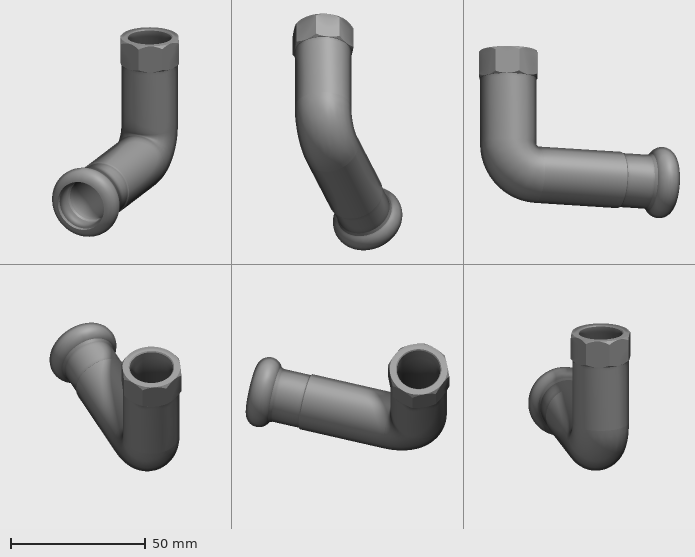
import cadquery as cq
import math

leg_top = 46.05
leg_length = 64.05
bend_radius = 11.0
pipe_radius = 10.5
bore_radius = 8.1

nut_sides = 8
nut_corner_radius = 11.65
nut_height = 10.3
nut_turn = 3.0
nut_face_radius = 10.75
nut_top_bevel = 1.2
nut_bottom_bevel = 0.9
mouth_chamfer = 0.4

neck_radius = 10.05
neck_start = 20.9
neck_step = neck_start - (pipe_radius - neck_radius)
bead_diameter = 26.55
bead_radius = bead_diameter / 2
bead_section_radius = 4.7
neck_flare_start = 10.05
lip_radius = 9.4
lip_depth = 1.9
groove_radius = 10.5
groove_middle = 4.15
socket_radius = 8.6
socket_depth = 7.8
bore_depth = 8.55


def elbow(radius):
    """Solid rod of the given radius along both legs and the bend between them."""
    upright = (
        cq.Workplane("XY")
        .workplane(offset=bend_radius)
        .circle(radius)
        .extrude(leg_top - bend_radius)
    )
    bend = (
        cq.Workplane("XY")
        .workplane(offset=bend_radius)
        .circle(radius)
        .revolve(90, (0.75, -bend_radius, 0), (-0.75, -bend_radius, 0))
    )
    horizontal = (
        cq.Workplane("XZ", origin=(0, -bend_radius, 0))
        .circle(radius)
        .extrude(leg_length - neck_start - bend_radius)
    )
    return upright.union(bend).union(horizontal)


def end_point(radius, depth):
    """Profile point in the YZ plane at a radius and a distance back from the end face."""
    return (depth - leg_length, radius)


def turn_about_leg(profile):
    """Revolve a closed YZ profile about the horizontal leg."""
    return profile.close().revolve(360, (0, 0, 0), (1, 0, 0))


def nut():
    """Octagon with conical bevels at both ends."""
    bottom = leg_top - nut_height
    prism = (
        cq.Workplane("XY")
        .workplane(offset=bottom)
        .polygon(nut_sides, 2 * nut_corner_radius)
        .extrude(nut_height)
        .rotate((0, 0, 0), (0, 0, 1), nut_turn)
    )
    bevel_body = (
        cq.Workplane("XZ")
        .moveTo(0, bottom)
        .lineTo(nut_face_radius, bottom)
        .lineTo(nut_corner_radius, bottom + nut_bottom_bevel)
        .lineTo(nut_corner_radius, leg_top - nut_top_bevel)
        .lineTo(nut_face_radius, leg_top)
        .lineTo(0, leg_top)
        .close()
        .revolve(360, (0, 0, 0), (0, 1, 0))
    )
    return prism.intersect(bevel_body)


def press_end():
    """Stepped-down neck, flaring into a rounded bead at the end face."""
    bead_center = bead_radius - bead_section_radius
    flare_rise = 0.5
    flare_radius = neck_radius + flare_rise
    flare_depth = bead_section_radius + math.sqrt(
        bead_section_radius**2 - (flare_radius - bead_center) ** 2
    )
    profile = (
        cq.Workplane("YZ")
        .moveTo(*end_point(0, neck_start))
        .lineTo(*end_point(pipe_radius, neck_start))
        .lineTo(*end_point(neck_radius, neck_step))
        .lineTo(*end_point(neck_radius, neck_flare_start))
        .lineTo(*end_point(flare_radius, flare_depth))
        .threePointArc(end_point(bead_radius, bead_section_radius), end_point(bead_center, 0))
        .lineTo(*end_point(0, 0))
    )
    return turn_about_leg(profile)


def socket():
    """Lip, seal groove and conical bore entry inside the press end."""
    profile = (
        cq.Workplane("YZ")
        .moveTo(*end_point(0, 0))
        .lineTo(*end_point(lip_radius, 0))
        .lineTo(*end_point(lip_radius, lip_depth))
        .threePointArc(end_point(groove_radius, groove_middle), end_point(socket_radius, socket_depth))
        .lineTo(*end_point(bore_radius, bore_depth))
        .lineTo(*end_point(bore_radius, neck_start))
        .lineTo(*end_point(0, neck_start))
    )
    return turn_about_leg(profile)


def mouth():
    """Conical lead-in at the top of the upright bore."""
    return (
        cq.Workplane("XY")
        .workplane(offset=leg_top)
        .circle(bore_radius + mouth_chamfer)
        .extrude(-mouth_chamfer, taper=45)
    )


outer = elbow(pipe_radius).union(nut()).union(press_end())
result = outer.cut(elbow(bore_radius)).cut(socket()).cut(mouth())